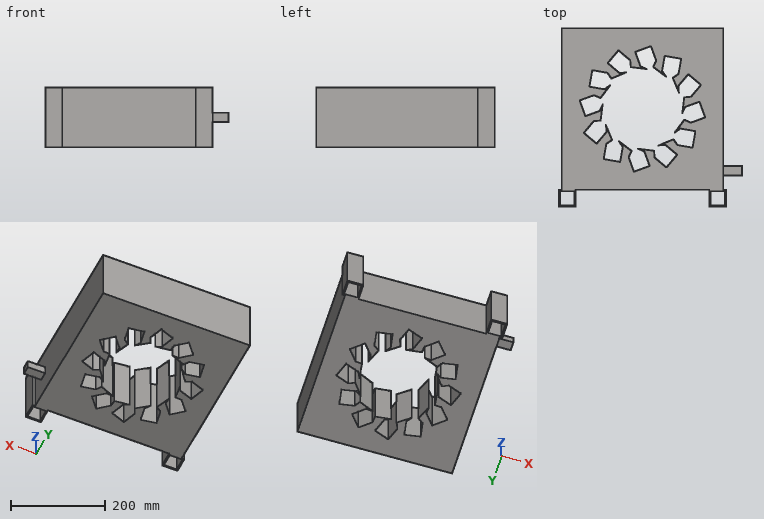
import cadquery as cq
import math

block_side = 344.0
height = 127.0

tube_side = 36.0
tube_wall = 3.0
frame_width = 355.5

total_width = 390.0
peg_side = 20.3
peg_y = -131.5
peg_length = total_width - (block_side + frame_width) / 2

slot_count = 12
slot_tilt = 20.0
slot_offset = 45.0
slot_width = 35.0
slot_end = 119.0
slot_shoulder = 86.5
slot_mouth = 76.0
mouth_width = slot_width - 2 * (slot_shoulder - slot_mouth)


def slot_points(angle_degrees):
    """Corners of one slot, counter-clockwise around the opening."""
    angle = math.radians(angle_degrees)
    half_mouth = mouth_width / 2
    half_slot = slot_width / 2
    corners = [
        (slot_mouth, -half_mouth),
        (slot_shoulder, -half_slot),
        (slot_end, -half_slot),
        (slot_end, half_slot),
        (slot_shoulder, half_slot),
        (slot_mouth, half_mouth),
    ]
    points = []
    for along, from_axis in corners:
        across = from_axis - slot_offset
        x = along * math.cos(angle) - across * math.sin(angle)
        y = along * math.sin(angle) + across * math.cos(angle)
        points.append((x, y))
    return points


def make_opening():
    """Through opening; straight edges join each slot to the next."""
    outline = []
    for index in range(slot_count):
        outline += slot_points(slot_tilt + index * 360 / slot_count)
    return cq.Workplane("XY").polyline(outline).close().extrude(height)


def make_tubes():
    tube_x = (frame_width - tube_side) / 2
    tube_y = -(block_side + tube_side) / 2
    bore_side = tube_side - 2 * tube_wall
    centres = [(-tube_x, tube_y), (tube_x, tube_y)]
    outer = cq.Workplane("XY").pushPoints(centres).rect(tube_side, tube_side).extrude(height)
    bores = cq.Workplane("XY").pushPoints(centres).rect(bore_side, bore_side).extrude(height)
    return outer.cut(bores)


def make_peg():
    return (
        cq.Workplane("YZ", origin=(block_side / 2, peg_y, height / 2))
        .rect(peg_side, peg_side)
        .extrude(peg_length)
    )


block = cq.Workplane("XY").rect(block_side, block_side).extrude(height)
result = block.cut(make_opening()).union(make_tubes()).union(make_peg())